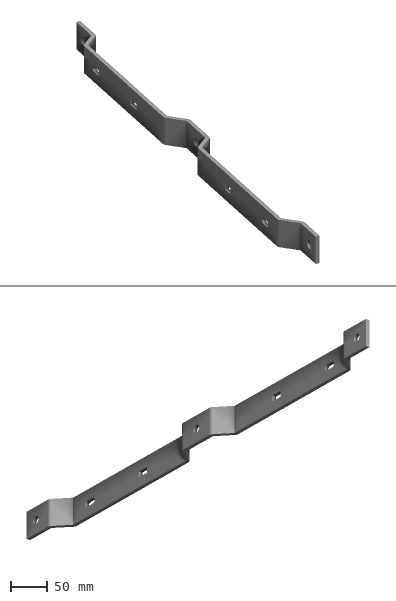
import cadquery as cq
import math

length = 760.0
depth = 30.0
height = 42.0
thickness = 6.0

bend_angle = math.radians(45)
end_tab = 48.0
middle_half = 30.0

hole_diameter = 12.0
end_hole_inset = 20.5
end_hole_x = length / 2 - end_hole_inset
slot_x = 268.0
slot_length = 20.5
slot_height = 9.0
slot_drop = 1.0
rectangle_x = 150.0
rectangle_length = 18.0
rectangle_height = 9.0

half_length = length / 2
low_front = -depth / 2
low_back = low_front + thickness
high_back = depth / 2
high_front = high_back - thickness

arc_shift_x = thickness * math.sin(bend_angle)
arc_shift_y = thickness * math.cos(bend_angle)
ramp_run = (high_front - low_back + arc_shift_y) / math.tan(bend_angle) + arc_shift_x
end_corner = half_length - end_tab
low_outer_corner = end_corner - ramp_run
low_inner_corner = middle_half + ramp_run


def bend_arc(path, corner, start_angle, end_angle):
    """Continue the outline to and around the outside of a bend."""
    def on_arc(angle):
        return (
            corner[0] + thickness * math.cos(angle),
            corner[1] + thickness * math.sin(angle),
        )

    middle_angle = (start_angle + end_angle) / 2
    return path.lineTo(*on_arc(start_angle)).threePointArc(on_arc(middle_angle), on_arc(end_angle))


def make_half_strip():
    """Right half of the bent strip, from the middle plane to the end."""
    down = -math.pi / 2
    up = math.pi / 2
    path = cq.Workplane("XY").moveTo(0, high_front).lineTo(middle_half, high_front)
    path = bend_arc(path, (low_inner_corner, low_back), down - bend_angle, down)
    path = bend_arc(path, (low_outer_corner, low_back), down, down + bend_angle)
    path = path.lineTo(end_corner, high_front).lineTo(half_length, high_front)
    path = path.lineTo(half_length, high_back)
    path = bend_arc(path, (end_corner, high_front), up, up + bend_angle)
    path = path.lineTo(low_outer_corner, low_back).lineTo(low_inner_corner, low_back)
    path = bend_arc(path, (middle_half, high_front), up - bend_angle, up)
    return path.lineTo(0, high_back).close().extrude(height / 2, both=True)


def mirrored_places(distance, drop=0):
    """Workplane with a place at this distance and drop on both sides of the strip middle."""
    return cq.Workplane("XZ").pushPoints([(-distance, -drop), (distance, -drop)])


def make_openings():
    """Outlines of the openings, which run through the strip along Y."""
    return [
        cq.Workplane("XZ").circle(hole_diameter / 2),
        mirrored_places(end_hole_x).circle(hole_diameter / 2),
        mirrored_places(slot_x, slot_drop).slot2D(slot_length, slot_height),
        mirrored_places(rectangle_x, slot_drop).rect(rectangle_length, rectangle_height),
    ]


half_strip = make_half_strip()
result = half_strip.union(half_strip.mirror("YZ")).clean()
for outline in make_openings():
    result = result.cut(outline.extrude(depth, both=True))